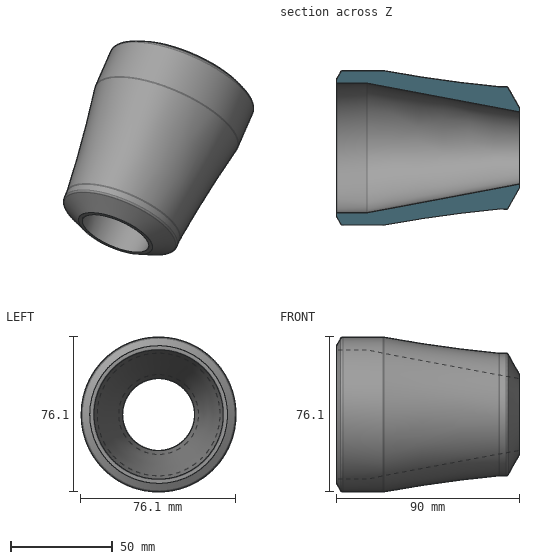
import cadquery as cq

length = 90.0
body_radius = 76.1 / 2
neck_radius = 60.3 / 2

rim_radius = 33.8
rim_bevel_length = 2.4
rim_blend_radius = 1.2
body_end = 22.95

neck_start = 80.1
bevel_start = 84.1
nose_radius = 19.6
nose_blend_radius = 1.2

taper_sag = 0.6
joint_blend_length = 0.4
body_joint_drop = 0.04
neck_joint_rise = 0.02

bore_radius = 63.5 / 2
bore_straight_length = 15.0
bore_entry_blend_radius = 0.3
outlet_radius = 35.3 / 2


def make_outside():
    """Solid of revolution bounded by the outer surface."""
    taper_start = (body_end + joint_blend_length, body_radius - body_joint_drop)
    taper_end = (neck_start - joint_blend_length, neck_radius + neck_joint_rise)
    taper_middle = (
        (body_end + neck_start) / 2,
        (body_radius + neck_radius) / 2 - taper_sag,
    )
    profile = (
        cq.Workplane("XY")
        .moveTo(0, 0)
        .lineTo(0, rim_radius)
        .lineTo(rim_bevel_length, body_radius)
        .lineTo(body_end, body_radius)
        .tangentArcPoint(taper_start, relative=False)
        .threePointArc(taper_middle, taper_end)
        .tangentArcPoint((neck_start, neck_radius), relative=False)
        .lineTo(bevel_start, neck_radius)
        .lineTo(length, nose_radius)
        .lineTo(length, 0)
        .close()
    )
    return profile.revolve(360, (0, 0, 0), (1, 0, 0))


def make_bore():
    """Through bore that narrows toward the small end."""
    profile = (
        cq.Workplane("XY")
        .moveTo(0, 0)
        .lineTo(0, bore_radius)
        .lineTo(bore_straight_length, bore_radius)
        .lineTo(length, outlet_radius)
        .lineTo(length, 0)
        .close()
    )
    return profile.revolve(360, (0, 0, 0), (1, 0, 0))


def edge_at(x):
    """Selector for the circular edge lying in the plane at x."""
    margin = 0.1
    reach = 2 * body_radius
    return cq.selectors.BoxSelector(
        (x - margin, -reach, -reach), (x + margin, reach, reach), boundingbox=True
    )


outside = make_outside()
outside = outside.edges(edge_at(rim_bevel_length)).fillet(rim_blend_radius)
outside = outside.edges(edge_at(bevel_start)).fillet(nose_blend_radius)

result = outside.cut(make_bore())

bore_mouth = cq.selectors.RadiusNthSelector(0)
result = result.faces("<X").edges(bore_mouth).fillet(bore_entry_blend_radius)